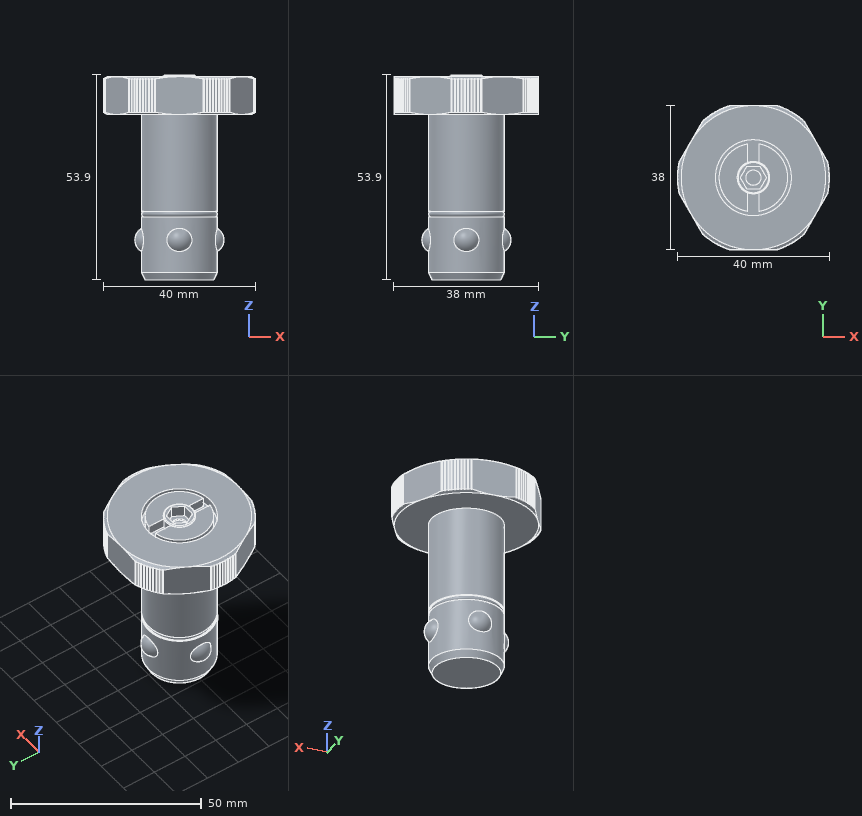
import cadquery as cq
import math

wheel_diameter = 40.0
wheel_across_flats = 38.0
wheel_height = 9.95
wheel_edge_angle = 30
wheel_top = 53.5
wheel_bottom = wheel_top - wheel_height
side_count = 6
side_angle = 360 / side_count

grip_grooves_per_corner = 10
grip_groove_spacing_angle = 2.5
grip_groove_width = 0.25
grip_groove_depth = 0.135

recess_outer_diameter = 20.0
recess_inner_diameter = 18.0
recess_depth = 3.0
slot_width = 3.0
screw_diameter = 8.5
screw_top = 53.9
screw_chamfer = 0.25
socket_across_flats = 6.0
socket_depth = 3.5
pilot_diameter = 4.0
pilot_depth = 0.55

shaft_diameter = 20.0
shaft_radius = shaft_diameter / 2
tip_chamfer_width = 0.95
tip_chamfer_height = 2.0

ring_center_height = 17.35
ring_height = 1.4
ring_bulge = 0.45

ball_count = 4
ball_radius = 3.5
ball_center_radius = 8.25
ball_center_height = 10.55


def make_hexagon(across_flats, bottom, height):
    """Upright hexagonal prism with two of its corners on the X axis."""
    corner_radius = across_flats / 2 / math.cos(math.radians(side_angle / 2))
    corners = []
    for index in range(side_count):
        angle = math.radians(index * side_angle)
        corners.append((corner_radius * math.cos(angle), corner_radius * math.sin(angle)))
    return cq.Workplane("XY").workplane(offset=bottom).polyline(corners).close().extrude(height)


def make_wheel():
    """Round wheel with bevelled rims, cut to six flats."""
    radius = wheel_diameter / 2
    rim_radius = wheel_across_flats / 2
    bevel_height = (radius - rim_radius) * math.tan(math.radians(wheel_edge_angle))
    blank = (
        cq.Workplane("XZ")
        .moveTo(0, wheel_bottom)
        .lineTo(rim_radius, wheel_bottom)
        .lineTo(radius, wheel_bottom + bevel_height)
        .lineTo(radius, wheel_top - bevel_height)
        .lineTo(rim_radius, wheel_top)
        .lineTo(0, wheel_top)
        .close()
        .revolve(360, (0, 0, 0), (0, 1, 0))
    )
    return blank.intersect(make_hexagon(wheel_across_flats, wheel_bottom, wheel_height))


def make_grip_grooves():
    """V grooves spread evenly over the round corners of the wheel."""
    radius = wheel_diameter / 2
    first_angle = -grip_groove_spacing_angle * (grip_grooves_per_corner - 1) / 2
    half_width = grip_groove_width / 2
    groove = (
        cq.Workplane("XY")
        .workplane(offset=wheel_bottom)
        .moveTo(radius - grip_groove_depth, 0)
        .lineTo(radius, half_width)
        .lineTo(radius + grip_groove_depth, half_width)
        .lineTo(radius + grip_groove_depth, -half_width)
        .lineTo(radius, -half_width)
        .close()
        .extrude(wheel_height)
    )
    grooves = cq.Workplane("XY")
    for corner in range(side_count):
        for index in range(grip_grooves_per_corner):
            angle = corner * side_angle + first_angle + index * grip_groove_spacing_angle
            grooves = grooves.add(groove.rotate((0, 0, 0), (0, 0, 1), angle))
    return grooves.combine()


def make_top_recess():
    """Ring recess joined to a slot across the wheel centre, along Y."""
    floor = cq.Workplane("XY").workplane(offset=wheel_top - recess_depth)
    disc = floor.circle(recess_outer_diameter / 2).extrude(recess_depth)
    ring = floor.circle(recess_outer_diameter / 2).circle(recess_inner_diameter / 2).extrude(recess_depth)
    slot = floor.rect(slot_width, recess_outer_diameter).extrude(recess_depth).intersect(disc)
    return ring.union(slot)


def make_screw():
    """Chamfered screw head standing in the middle of the recess."""
    height = screw_top - wheel_top + recess_depth
    return (
        cq.Workplane("XY")
        .workplane(offset=screw_top - height)
        .circle(screw_diameter / 2)
        .extrude(height)
        .faces(">Z")
        .chamfer(screw_chamfer)
    )


def make_socket():
    """Hexagon socket with a round pilot in its floor."""
    hexagon = make_hexagon(socket_across_flats, screw_top - socket_depth, socket_depth)
    pilot = (
        cq.Workplane("XY")
        .workplane(offset=screw_top - socket_depth)
        .circle(pilot_diameter / 2)
        .extrude(-pilot_depth)
    )
    return hexagon.union(pilot)


def make_shaft():
    """Shaft with a tapered tip and a convex ring between two small notches."""
    ring_base_radius = shaft_radius - ring_bulge
    ring_low = ring_center_height - ring_height / 2
    ring_high = ring_center_height + ring_height / 2
    return (
        cq.Workplane("XZ")
        .lineTo(shaft_radius - tip_chamfer_width, 0)
        .lineTo(shaft_radius, tip_chamfer_height)
        .lineTo(shaft_radius, ring_low)
        .lineTo(ring_base_radius, ring_low)
        .threePointArc((shaft_radius, ring_center_height), (ring_base_radius, ring_high))
        .lineTo(shaft_radius, ring_high)
        .lineTo(shaft_radius, wheel_bottom)
        .lineTo(0, wheel_bottom)
        .close()
        .revolve(360, (0, 0, 0), (0, 1, 0))
    )


def make_balls():
    """Locking balls standing partly out of the shaft."""
    return (
        cq.Workplane("XY")
        .workplane(offset=ball_center_height)
        .polarArray(ball_center_radius, 0, 360, ball_count)
        .sphere(ball_radius)
    )


wheel = make_wheel().cut(make_grip_grooves()).cut(make_top_recess())
result = wheel.union(make_shaft()).union(make_balls()).union(make_screw()).cut(make_socket())